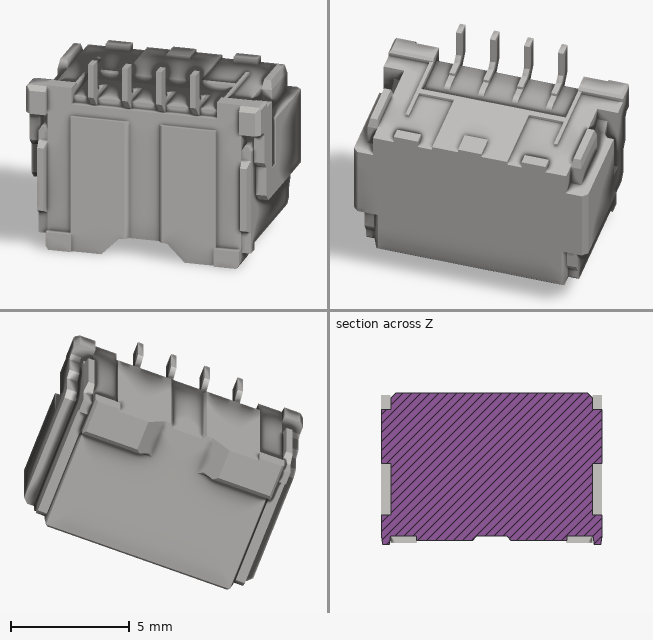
import cadquery as cq


depth = 6.4
body_half_width = 4.24
body_bottom = 0.78
body_front = 0.36
front_skin = 0.06
side_top = 6.96
top_level = 7.11
block_top = 7.25
rear_corner = 0.22
draft_inset = 0.11
draft_height = 0.4
rear_bottom_chamfer = 0.1

centre_half_width = 1.65
recess_half_width = 3.18
rib_half_width = 3.34
rib_rear = 4.7
bridge_rear = 3.22
recess_rear = 2.95
recess_floor = 6.78
lip_rear = 0.68
lip_top = 6.51
rear_pad_inner = 2.28
rear_pad_front = 5.91
centre_pad_half_width = 0.52
centre_pad_front = 5.42

block_rear = 1.16
block_bottom = 6.02
block_chamfer = 0.21
block_edge_break = 0.1

wing_half_width = 5.15
wing_bottom = 2.73
wing_front_top = 0.6
wing_jog_upper = 0.19
wing_jog_middle = 0.29
wing_jog_lower = 0.3
middle_jog_top = 4.58
shelf_front = 1.87
ramp_run = 0.38
slot_rear = 2.48
slot_corner = 0.22
slot_corner_width = 0.19
slot_bottom = 3.98
clip_half_width = 4.66
clip_gap_half_width = 4.69

foot_rear = 1.71
foot_slope_bottom = 0.61
foot_rear_chamfer = 0.21
foot_side_inset = 0.11
foot_side_height = 0.19
pad_inner = 3.13
notch_bottom_half_width = 1.82
notch_radius = 0.19
panel_front = 0.18
panel_inner = 0.8
panel_inner_base = 0.65

clip_front = 0.43
clip_hook_rear = 0.99
clip_bottom = 0.61
plate_bottom = 0.93
plate_rear = 6.29
plate_neck_rear = 6.1
neck_bottom = 1.16
neck_top = 1.55
neck_slope_top = 1.92
plate_corner = 0.23
leg_rear = 1.27
leg_top = 5.38
leg_tip_inset = 0.12
leg_tip_height = 0.22
plate_top = 2.7
tongue_front = 3.41
tongue_rear = 5.71
tongue_shoulder = 6.9
tongue_top = 7.28
tab_bottom = 1.52
tab_top = 4.76
tongue_half_width = 4.7
tongue_side_inset = 0.07
tab_side_inset = 0.06
tongue_end_inset = 0.14
tab_end_inset = 0.22

pin_count = 4
pin_pitch = 1.49
pin_width = 0.25
pin_top = 8.5
pin_post_depth = 0.6
pin_heel = 7.03
pin_root = 6.41
arm_top = 7.06
arm_gusset = 0.22
arm_step = 1.56
arm_rear_top = 6.92
arm_bend = 1.95
arm_rear = 2.34
arm_bend_middle = (2.16, 6.88)


def block(x_range, y_range, z_range):
    """Box given by its limits along each axis."""
    (x0, x1), (y0, y1), (z0, z1) = x_range, y_range, z_range
    return cq.Workplane("XY").box(x1 - x0, y1 - y0, z1 - z0, centered=False).translate((x0, y0, z0))


def side_profile(points, x_start, x_end):
    """Extrude a (Y, Z) outline along X."""
    return cq.Workplane("YZ", origin=(x_start, 0, 0)).polyline(points).close().extrude(x_end - x_start)


def plan_profile(points, z_start, z_end):
    """Extrude an (X, Y) outline along Z."""
    return cq.Workplane("XY", origin=(0, 0, z_start)).polyline(points).close().extrude(z_end - z_start)


def front_profile(points, y_start, y_end):
    """Extrude an (X, Z) outline along Y."""
    return cq.Workplane("XZ", origin=(0, y_start, 0)).polyline(points).close().extrude(y_start - y_end)


def both_sides(solid):
    """Add the mirror image across X = 0."""
    return solid.union(solid.mirror("YZ"))


def tapered_tip(base_plane, base_size, insets, height):
    """Rectangular tip on base_plane, narrowing by the inset on every side over its height."""
    tip_size = [size - 2 * inset for size, inset in zip(base_size, insets)]
    return base_plane.rect(*base_size).workplane(offset=height).rect(*tip_size).loft()


def make_housing():
    outline = [
        (body_half_width - draft_inset, body_bottom),
        (body_half_width, body_bottom + draft_height),
        (body_half_width, side_top),
        (-body_half_width, side_top),
        (-body_half_width, body_bottom + draft_height),
        (-body_half_width + draft_inset, body_bottom),
    ]
    housing = front_profile(outline, body_front, depth)
    housing = housing.edges(">Y and <Z").chamfer(rear_bottom_chamfer)
    corner = plan_profile(
        [
            (body_half_width, depth),
            (body_half_width, depth - rear_corner),
            (body_half_width - rear_corner, depth),
        ],
        0,
        wing_bottom,
    )
    return housing.cut(both_sides(corner))


def make_top_features():
    centre = block((-centre_half_width, centre_half_width), (recess_rear, depth), (lip_top, top_level))
    bridge = block((-rib_half_width, rib_half_width), (recess_rear, bridge_rear), (lip_top, top_level))
    rib = block((recess_half_width, rib_half_width), (block_rear, rib_rear), (lip_top, top_level))
    rear_pad = block((rear_pad_inner, rib_half_width), (rear_pad_front, depth), (lip_top, block_top))
    centre_pad = block(
        (-centre_pad_half_width, centre_pad_half_width), (centre_pad_front, depth), (lip_top, block_top)
    )
    return centre.union(bridge).union(both_sides(rib)).union(both_sides(rear_pad)).union(centre_pad)


def make_recess():
    width = (-recess_half_width, recess_half_width)
    floor = block(width, (0, recess_rear), (recess_floor, pin_top))
    lip = block(width, (0, lip_rear), (lip_top, pin_top))
    return floor.union(lip)


def make_corner_block():
    corner = block((recess_half_width, wing_half_width), (front_skin, block_rear), (block_bottom, block_top))
    corner = corner.edges(">X and <Y").chamfer(block_chamfer)
    corner = corner.edges(">Z and <Y").chamfer(block_chamfer)
    corner = corner.edges(">Z and (>X or >Y)").chamfer(block_edge_break)
    inner_step = block((recess_half_width, body_half_width), (0, body_front), (0, pin_top))
    return corner.cut(inner_step)


def make_wing():
    front_upper = wing_front_top + wing_jog_upper
    front_middle = front_upper + wing_jog_middle
    front_lower = front_middle + wing_jog_lower
    outline = [
        (wing_front_top, side_top),
        (wing_front_top, block_bottom),
        (front_upper, block_bottom - wing_jog_upper),
        (front_upper, middle_jog_top),
        (front_middle, middle_jog_top - wing_jog_middle),
        (front_middle, wing_bottom + wing_jog_lower),
        (front_lower, wing_bottom),
        (depth, wing_bottom),
        (depth, block_bottom),
        (shelf_front + ramp_run, block_bottom),
        (shelf_front, block_bottom + ramp_run),
        (shelf_front, side_top),
    ]
    wing = side_profile(outline, body_half_width, wing_half_width)
    wing = wing.edges("|Z and >X and >Y").chamfer(rear_corner)
    slot = plan_profile(
        [
            (wing_half_width, shelf_front),
            (clip_gap_half_width, shelf_front),
            (clip_gap_half_width, slot_rear - slot_corner),
            (clip_gap_half_width + slot_corner_width, slot_rear),
            (wing_half_width, slot_rear),
        ],
        slot_bottom,
        side_top,
    )
    clip_gap = block((body_half_width, clip_gap_half_width), (0, leg_rear), (wing_bottom, block_bottom))
    return wing.cut(slot).cut(clip_gap)


def make_feet():
    slope_top = body_bottom + draft_height
    outline = [
        (body_front, 0),
        (foot_rear - foot_rear_chamfer, 0),
        (foot_rear, foot_side_height),
        (foot_rear, foot_slope_bottom),
        (foot_rear + slope_top - foot_slope_bottom, slope_top),
        (body_front, slope_top),
    ]
    feet = side_profile(outline, -body_half_width, body_half_width)
    pad = block((pad_inner, body_half_width), (front_skin, body_front), (0, body_bottom))
    edge_cut = front_profile(
        [
            (body_half_width, 0),
            (body_half_width, foot_side_height),
            (body_half_width - foot_side_inset, 0),
        ],
        0,
        depth,
    )
    return feet.union(both_sides(pad)).cut(both_sides(edge_cut))


def make_panel():
    outline = [
        (recess_half_width, body_front),
        (recess_half_width, panel_front),
        (panel_inner, panel_front),
        (panel_inner_base, body_front),
    ]
    return plan_profile(outline, 0, block_bottom)


def make_notch():
    top_half_width = notch_bottom_half_width - body_bottom
    outline = [
        (-notch_bottom_half_width, 0),
        (notch_bottom_half_width, 0),
        (top_half_width, body_bottom),
        (-top_half_width, body_bottom),
    ]
    notch = front_profile(outline, 0, depth)
    return notch.edges("|Y and >Z").fillet(notch_radius)


def make_clip():
    plate_outline = [
        (clip_front, clip_bottom),
        (clip_hook_rear, clip_bottom),
        (clip_hook_rear, plate_bottom),
        (plate_neck_rear - plate_corner, plate_bottom),
        (plate_neck_rear, neck_bottom),
        (plate_neck_rear, neck_top),
        (plate_rear, neck_slope_top),
        (plate_rear, plate_top),
        (clip_front, plate_top),
    ]
    plate = side_profile(plate_outline, body_half_width, clip_half_width)
    leg_outline = [
        (body_half_width, plate_top),
        (body_half_width, leg_top - leg_tip_height),
        (body_half_width + leg_tip_inset, leg_top),
        (clip_half_width - leg_tip_inset, leg_top),
        (clip_half_width, leg_top - leg_tip_height),
        (clip_half_width, plate_top),
    ]
    leg = front_profile(leg_outline, clip_front, leg_rear)

    tongue_span = (tongue_front, tongue_rear)
    stem = block((body_half_width, clip_half_width), tongue_span, (plate_top, block_bottom))
    tongue = block((body_half_width, tongue_half_width), tongue_span, (block_bottom, tongue_shoulder))
    tongue_middle = ((body_half_width + tongue_half_width) / 2, (tongue_front + tongue_rear) / 2)
    tongue_tip = tapered_tip(
        cq.Workplane("XY", origin=(*tongue_middle, tongue_shoulder)),
        (tongue_half_width - body_half_width, tongue_rear - tongue_front),
        (tongue_side_inset, tongue_end_inset),
        tongue_top - tongue_shoulder,
    )
    tab_middle_x = (body_half_width + clip_half_width) / 2
    front_tab = tapered_tip(
        cq.Workplane("XZ", origin=(tab_middle_x, clip_front, (tab_bottom + tab_top) / 2)),
        (clip_half_width - body_half_width, tab_top - tab_bottom),
        (tab_side_inset, tab_end_inset),
        clip_front,
    )
    return plate.union(leg).union(stem).union(tongue).union(tongue_tip).union(front_tab)


def make_pin(x_centre):
    outline = (
        cq.Workplane("YZ", origin=(x_centre - pin_width / 2, 0, 0))
        .moveTo(0, pin_top)
        .lineTo(0, pin_heel)
        .lineTo(pin_heel - pin_root, pin_root)
        .lineTo(arm_rear, pin_root)
        .lineTo(arm_rear, recess_floor)
        .threePointArc(arm_bend_middle, (arm_bend, arm_rear_top))
        .lineTo(arm_step, arm_rear_top)
        .lineTo(arm_step, arm_top)
        .lineTo(pin_post_depth + arm_gusset, arm_top)
        .lineTo(pin_post_depth, arm_top + arm_gusset)
        .lineTo(pin_post_depth, pin_top)
        .close()
    )
    return outline.extrude(pin_width)


result = make_housing().union(make_top_features()).cut(make_recess())
result = result.union(both_sides(make_corner_block())).union(both_sides(make_wing()))
result = result.union(make_feet()).union(both_sides(make_panel())).cut(make_notch())
result = result.union(both_sides(make_clip()))
for index in range(pin_count):
    result = result.union(make_pin((index - (pin_count - 1) / 2) * pin_pitch))